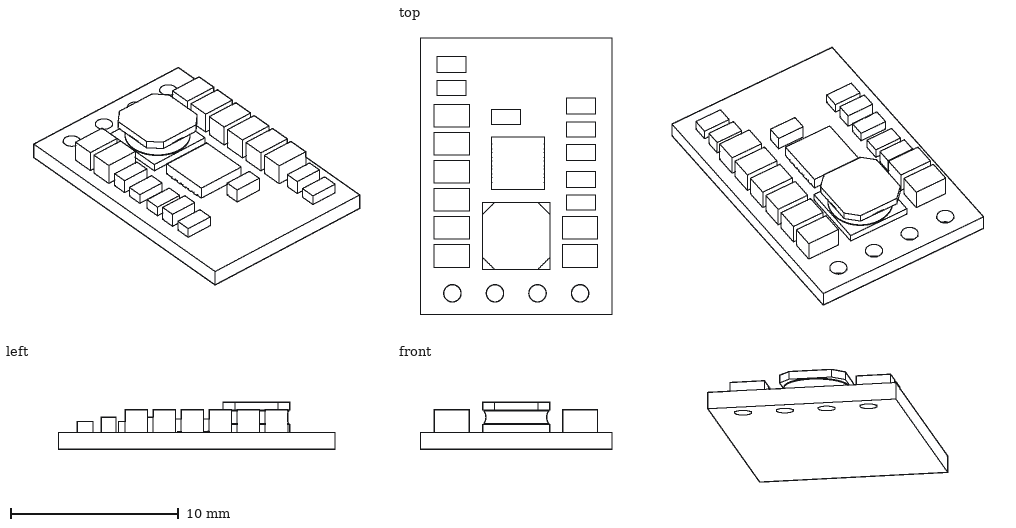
import cadquery as cq

BOARD_X = 11.43
BOARD_Y = 16.51
BOARD_Z = 1.02
HOLE_DIAMETER = 1.02
HOLE_PITCH = 2.54
HOLE_COUNT = 4
HOLE_ROW_Y = 1.27

LEFT_CAPACITOR = (2.1, 1.35, 1.35, 0.52)
RIGHT_CAPACITOR = (2.1, 1.35, 1.35, 0.48)
SMALL_CAPACITOR = (1.75, 0.9, 0.9, 0.3)
RESISTOR = (1.75, 0.95, 0.65, 0.42)

LARGE_PITCH = 1.672
LARGE_FIRST_Y = -4.755
LEFT_LARGE_COUNT = 6
RIGHT_LARGE_COUNT = 2
LEFT_COLUMN_X = -3.85
RIGHT_COLUMN_X = 3.81
LEFT_SMALL_X = -3.86
RIGHT_SMALL_X = 3.86
MIDDLE_CHIP_X = -0.61


def large_column_y(count):
    """Centre Y of every large capacitor in a column of the given count."""
    return [LARGE_FIRST_Y + i * LARGE_PITCH for i in range(count)]


CHIP_COLUMNS = [
    (LEFT_CAPACITOR, LEFT_COLUMN_X, large_column_y(LEFT_LARGE_COUNT)),
    (RIGHT_CAPACITOR, RIGHT_COLUMN_X, large_column_y(RIGHT_LARGE_COUNT)),
    (SMALL_CAPACITOR, LEFT_SMALL_X, [5.26]),
    (SMALL_CAPACITOR, RIGHT_SMALL_X, [-1.56, 2.8]),
    (SMALL_CAPACITOR, MIDDLE_CHIP_X, [3.53]),
    (RESISTOR, LEFT_SMALL_X, [6.66]),
    (RESISTOR, RIGHT_SMALL_X, [-0.2, 1.41, 4.2]),
]

IC_SIDE = 3.15
IC_HEIGHT = 0.8
IC_X = 0.1
IC_Y = 0.77
IC_STANDOFF = 0.05
PAD_LENGTH = 0.4
PAD_WIDTH = 0.3
PAD_HEIGHT = 0.2
PAD_PITCH = 0.5
PADS_PER_SIDE = 5

INDUCTOR_SIDE = 4.0
INDUCTOR_X = 0.0
INDUCTOR_Y = -3.56
INDUCTOR_HEIGHT = 1.8
BASE_HEIGHT = 0.47
CAP_HEIGHT = 0.48
CAP_CORNER_CUT = 0.71
CORE_RADIUS = 1.94
CORE_RIM_HEIGHT = 0.05
WAIST_RADIUS = 1.82
ROD_RADIUS = 0.26
ROD_X = 1.54


def block(x, y, length, width, height, z=BOARD_Z):
    """Box centred on (x, y) whose underside is at z."""
    return cq.Workplane("XY").box(length, width, height, (True, True, False)).translate((x, y, z))


def make_board():
    board = block(0, 0, BOARD_X, BOARD_Y, BOARD_Z, 0)
    row_y = HOLE_ROW_Y - BOARD_Y / 2
    return (
        board.faces(">Z").workplane(origin=(0, row_y, 0))
        .rarray(HOLE_PITCH, 1, HOLE_COUNT, 1)
        .hole(HOLE_DIAMETER)
    )


def chip_pieces(size, x, y):
    """Ceramic body and the two end terminals of one chip, flush with each other."""
    length, width, height, terminal = size
    pieces = [block(x, y, length - 2 * terminal, width, height)]
    for side in (-1, 1):
        terminal_x = x + side * (length - terminal) / 2
        pieces.append(block(terminal_x, y, terminal, width, height))
    return pieces


def ic_pieces():
    """Body of the integrated circuit and its pads, flush with the sides of the body."""
    body_height = IC_HEIGHT - IC_STANDOFF
    pieces = [block(IC_X, IC_Y, IC_SIDE, IC_SIDE, body_height, BOARD_Z + IC_STANDOFF)]
    first_pad_y = IC_Y - PAD_PITCH * (PADS_PER_SIDE - 1) / 2
    for side in (-1, 1):
        pad_x = IC_X + side * (IC_SIDE - PAD_LENGTH) / 2
        for i in range(PADS_PER_SIDE):
            pad_y = first_pad_y + i * PAD_PITCH
            pieces.append(block(pad_x, pad_y, PAD_LENGTH, PAD_WIDTH, PAD_HEIGHT))
    return pieces


def inductor_core(bottom, top):
    """Round core with a straight rim at each end and a concave waist, as two mirrored halves."""
    middle = (bottom + top) / 2
    rim_top = bottom + CORE_RIM_HEIGHT
    arc_height = middle - rim_top
    waist_depth = CORE_RADIUS - WAIST_RADIUS
    waist_arc_radius = (arc_height**2 + waist_depth**2) / (2 * waist_depth)
    lower_half = (
        cq.Workplane("XZ")
        .moveTo(WAIST_RADIUS, middle)
        .radiusArc((CORE_RADIUS, rim_top), -waist_arc_radius)
        .lineTo(CORE_RADIUS, bottom)
        .lineTo(0, bottom)
        .lineTo(0, middle)
        .close()
        .revolve(360, (0, 0, 0), (0, 1, 0))
    )
    upper_half = lower_half.mirror("XY", (0, 0, middle))
    return lower_half.union(upper_half, clean=False)


def terminal_rod(x):
    """Half-round terminal sunk in the inductor base, its ends flush with the base."""
    rod = (
        cq.Workplane("XZ")
        .moveTo(x - ROD_RADIUS, 0)
        .threePointArc((x, ROD_RADIUS), (x + ROD_RADIUS, 0))
        .close()
        .extrude(INDUCTOR_SIDE / 2, both=True)
    )
    return rod


def make_inductor():
    base = block(0, 0, INDUCTOR_SIDE, INDUCTOR_SIDE, BASE_HEIGHT, 0)
    for rod_x in (-ROD_X, ROD_X):
        base = base.union(terminal_rod(rod_x), clean=False)
    cap_bottom = INDUCTOR_HEIGHT - CAP_HEIGHT
    cap = block(0, 0, INDUCTOR_SIDE, INDUCTOR_SIDE, CAP_HEIGHT, cap_bottom)
    cap = cap.edges("|Z").chamfer(CAP_CORNER_CUT)
    core = inductor_core(BASE_HEIGHT, cap_bottom)
    inductor = base.union(core, clean=False).union(cap, clean=False)
    return inductor.translate((INDUCTOR_X, INDUCTOR_Y, BOARD_Z))


result = make_board()
for chip_size, column_x, rows in CHIP_COLUMNS:
    for row_y in rows:
        for piece in chip_pieces(chip_size, column_x, row_y):
            result = result.union(piece, clean=False)
for piece in ic_pieces():
    result = result.union(piece, clean=False)
result = result.union(make_inductor(), clean=False)